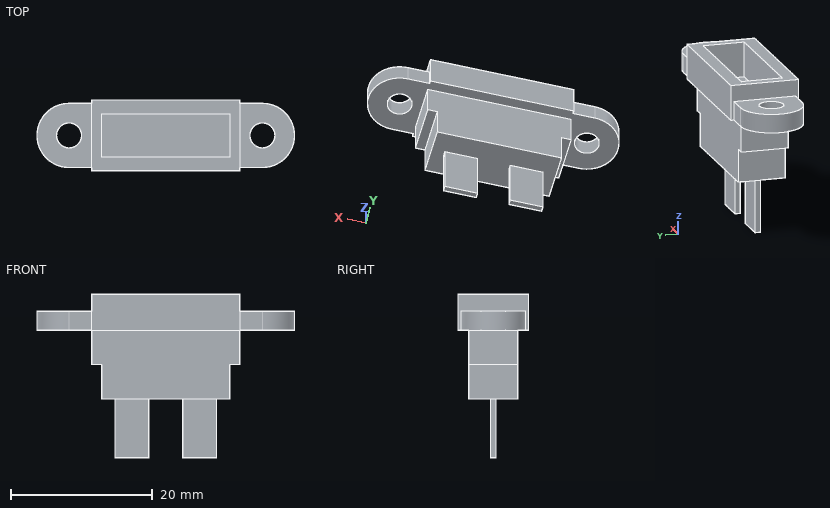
import cadquery as cq

overall_length = 36.4
housing_length = 20.93
housing_width = 10.0
housing_height = 5.15

ear_width = 9.1
ear_thickness = 2.73
ear_hole_diameter = 3.5

pocket_length = 18.13
pocket_width = 6.05
pocket_depth = housing_height

body_width = 6.95
step_height = 4.85
lower_body_length = 18.13

pin_width = 4.8
pin_thickness = 0.8
pin_length = 8.3
pin_spacing = 9.55

housing_bottom = -housing_height
upper_body_bottom = housing_bottom - step_height
lower_body_bottom = upper_body_bottom - step_height
ear_hole_spacing = overall_length - ear_width


def block(length, width, height, bottom, x=0):
    """Rectangular block centred on (x, 0), standing on the given Z level."""
    return cq.Workplane("XY").box(length, width, height, centered=(True, True, False)).translate((x, 0, bottom))


def mounting_ears():
    """Round-ended plate passing through the housing, with a screw hole at each end."""
    return (
        cq.Workplane("XY", origin=(0, 0, housing_bottom))
        .slot2D(overall_length, ear_width)
        .extrude(ear_thickness)
        .faces(">Z")
        .workplane()
        .pushPoints([(-ear_hole_spacing / 2, 0), (ear_hole_spacing / 2, 0)])
        .hole(ear_hole_diameter)
    )


result = block(housing_length, housing_width, housing_height, housing_bottom)
result = result.union(mounting_ears())
result = result.union(block(housing_length, body_width, step_height, upper_body_bottom))
result = result.union(block(lower_body_length, body_width, step_height, lower_body_bottom))

for side in (-1, 1):
    pin = block(pin_width, pin_thickness, pin_length, lower_body_bottom - pin_length, side * pin_spacing / 2)
    result = result.union(pin)

result = result.cut(block(pocket_length, pocket_width, pocket_depth, -pocket_depth))